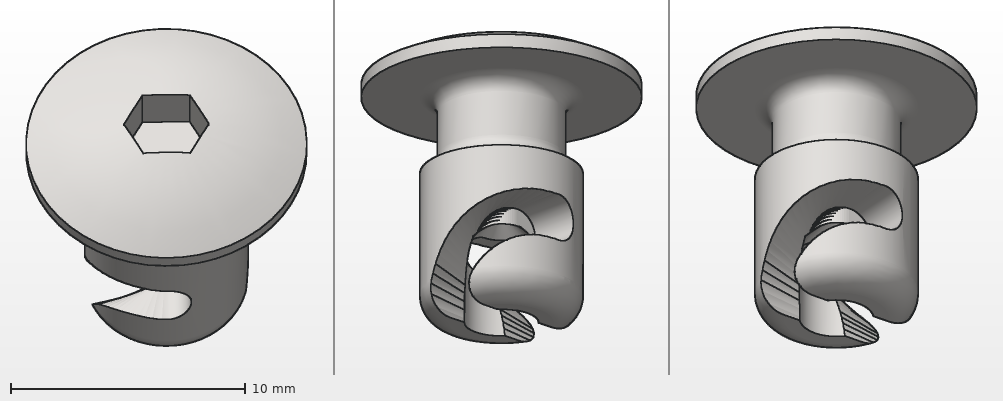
import cadquery as cq
import math

total_height = 12.36
head_radius = 12.0 / 2
rim_bottom = 10.3
dome_radius = 12.36
neck_radius = 5.5 / 2
body_radius = 3.5
body_top = 6.8
bottom_fillet = 1.25
flare_radius = body_radius - neck_radius

socket_corner_radius = 1.82
socket_depth = 2.01
socket_corner_angles = (77.0, 20.7, -35.5)

bore_radius = 1.58
bore_tip_height = 5.13
bore_tip_half_angle = 45.0

slot_radius = 1.05
slot_floor_radius = 0.99
slot_end_height = 3.87
slot_end_position = 1.25
slot_bend_start = 0.42
slot_bend_radius = 4.8
slot_bend_angle = 84.0
slot_bend_steps = 20

half_turns = (0, 180)
z_axis = ((0, 0, 0), (0, 0, 1))


def revolve_about_z(profile):
    return profile.close().revolve(360, (0, 0, 0), (0, 1, 0))


def fastener_blank():
    """Domed head, flared neck and body; the dome reaches full height at the socket's nearest side."""
    widest_gap = socket_corner_angles[2] + 180 - socket_corner_angles[0]
    nearest_side = socket_corner_radius * math.cos(math.radians(widest_gap / 2))
    dome_center = total_height - math.sqrt(dome_radius**2 - nearest_side**2)
    rim_top = dome_center + math.sqrt(dome_radius**2 - head_radius**2)
    return revolve_about_z(
        cq.Workplane("XZ")
        .lineTo(body_radius - bottom_fillet, 0)
        .radiusArc((body_radius, bottom_fillet), -bottom_fillet)
        .lineTo(body_radius, body_top)
        .radiusArc((neck_radius, body_top + flare_radius), flare_radius)
        .lineTo(neck_radius, rim_bottom - flare_radius)
        .radiusArc((body_radius, rim_bottom), flare_radius)
        .lineTo(head_radius, rim_bottom)
        .lineTo(head_radius, rim_top)
        .radiusArc((0, dome_center + dome_radius), -dome_radius)
    )


def socket():
    corners = []
    for half_turn in half_turns:
        for corner_angle in socket_corner_angles:
            angle = math.radians(corner_angle - half_turn)
            corners.append((socket_corner_radius * math.cos(angle), socket_corner_radius * math.sin(angle)))
    floor = cq.Workplane("XY").workplane(offset=total_height - socket_depth)
    return floor.polyline(corners).close().extrude(2 * socket_depth)


def center_bore():
    tip_length = bore_radius / math.tan(math.radians(bore_tip_half_angle))
    return revolve_about_z(
        cq.Workplane("XZ")
        .lineTo(bore_radius, 0)
        .lineTo(bore_radius, bore_tip_height - tip_length)
        .lineTo(0, bore_tip_height)
    )


def slot_path():
    """Cutter centres (arc length, height): a level run, then a bend down through the bottom."""
    level_middle = (slot_end_position + slot_bend_start) / 2
    path = [(slot_end_position, slot_end_height), (level_middle, slot_end_height)]
    for step in range(slot_bend_steps + 1):
        bend = math.radians(slot_bend_angle * step / slot_bend_steps)
        position = slot_bend_start - slot_bend_radius * math.sin(bend)
        height = slot_end_height - slot_bend_radius * (1 - math.cos(bend))
        path.append((position, height))
    return path


def slot_cutters():
    """Overlapping radial cylinders that sweep out one cam slot."""
    cutters = []
    for position, height in slot_path():
        angle = position / body_radius
        outward = cq.Vector(math.sin(angle), -math.cos(angle), 0)
        start = outward * slot_floor_radius + cq.Vector(0, 0, height)
        cutters.append(cq.Solid.makeCylinder(slot_radius, 2 * body_radius, start, outward))
    return cutters


result = fastener_blank().cut(socket()).cut(center_bore())
for half_turn in half_turns:
    for cutter in slot_cutters():
        result = result.cut(cq.Workplane(cutter.rotate(*z_axis, half_turn)))